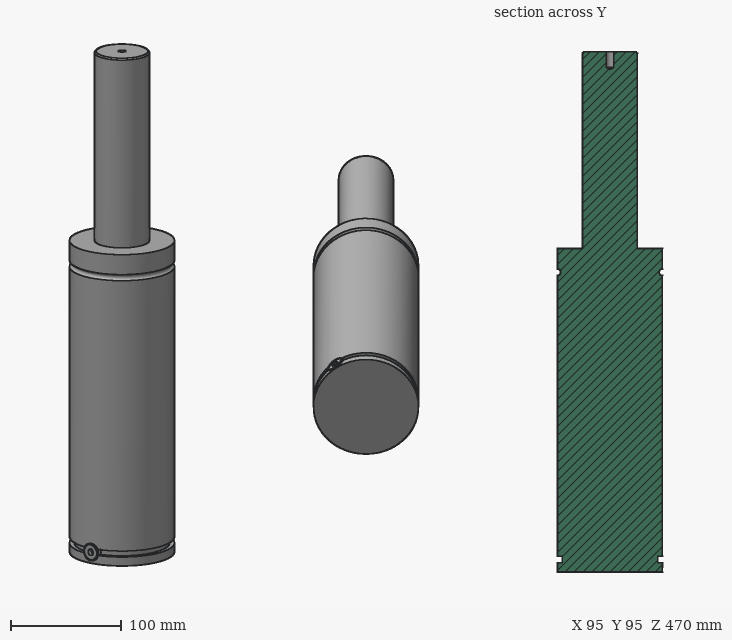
import cadquery as cq
import math

total_height = 470.0
body_diameter = 95.0
body_height = 292.5
rod_diameter = 50.0
rod_chamfer = 1.5

head_groove_center = 270.5
head_groove_radius = 3.0

base_groove_bottom = 8.5
base_groove_width = 5.5
base_groove_depth = 4.0

rod_hole_diameter = 6.5
rod_hole_depth = 14.0
drill_point_angle = 118.0

port_height = 10.5
plug_diameter = 16.0
plug_face_diameter = 14.0
plug_hole_diameter = 5.5
plug_hole_depth = 4.5
port_depth = 14.0

body_radius = body_diameter / 2


def make_body():
    """Cylindrical body with its two circumferential grooves."""
    groove_floor_radius = body_radius - base_groove_depth
    base_groove_top = base_groove_bottom + base_groove_width
    profile = (
        cq.Workplane("XZ")
        .lineTo(body_radius, 0)
        .lineTo(body_radius, base_groove_bottom)
        .lineTo(groove_floor_radius, base_groove_bottom)
        .lineTo(groove_floor_radius, base_groove_top)
        .lineTo(body_radius, base_groove_top)
        .lineTo(body_radius, head_groove_center - head_groove_radius)
        .threePointArc(
            (body_radius - head_groove_radius, head_groove_center),
            (body_radius, head_groove_center + head_groove_radius),
        )
        .lineTo(body_radius, body_height)
        .lineTo(0, body_height)
        .close()
    )
    return profile.revolve(360, (0, 0), (0, 1))


def make_rod():
    """Piston rod with a chamfered end and a drilled central hole."""
    rod = (
        cq.Workplane("XY", origin=(0, 0, body_height))
        .circle(rod_diameter / 2)
        .extrude(total_height - body_height)
        .faces(">Z")
        .chamfer(rod_chamfer)
    )
    hole_radius = rod_hole_diameter / 2
    hole_straight_end = total_height - rod_hole_depth
    hole_tip = hole_straight_end - hole_radius / math.tan(math.radians(drill_point_angle / 2))
    hole = (
        cq.Workplane("XZ")
        .moveTo(0, hole_tip)
        .lineTo(hole_radius, hole_straight_end)
        .lineTo(hole_radius, total_height)
        .lineTo(0, total_height)
        .close()
        .revolve(360, (0, 0), (0, 1))
    )
    return rod.cut(hole)


def port_cylinder(diameter, length):
    """Cylinder on the port axis, running inward from the body surface."""
    return (
        cq.Workplane("XZ", origin=(0, -body_radius, port_height))
        .circle(diameter / 2)
        .extrude(-length)
    )


def add_port(body):
    """Seat a drilled, chamfered plug in a bore that crosses the groove."""
    bore = port_cylinder(plug_diameter, port_depth)
    plug = bore.faces("<Y").chamfer((plug_diameter - plug_face_diameter) / 2)
    plug_hole = port_cylinder(plug_hole_diameter, plug_hole_depth)
    return body.cut(bore).union(plug).cut(plug_hole)


result = add_port(make_body()).union(make_rod())